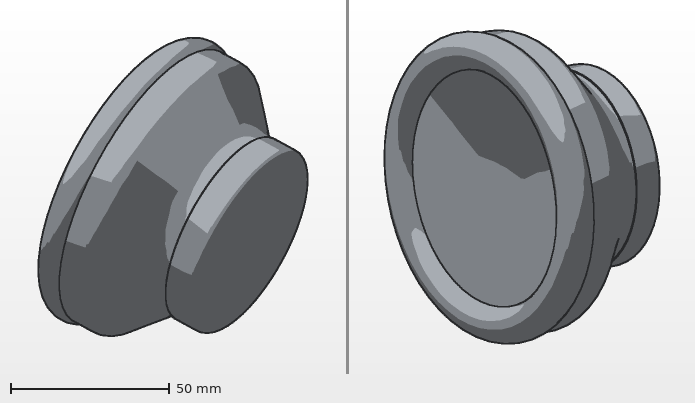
import cadquery as cq
import math


ring_outer_radius = 50.0
tube_radius = 6.0
ring_radius = ring_outer_radius - tube_radius
ring_x = tube_radius

length = 50.0
rim_radius = 97.0 / 2
neck_radius = 64.6 / 2
collar_radius = 65.0 / 2
collar_x = 39.6
shoulder_x = 19.4
shoulder_fillet = 5.0
neck_fillet = 8.0
end_fillet = 2.0
collar_step = collar_radius - neck_radius

taper_angle = math.radians(45)
neck_x = shoulder_x + (rim_radius - neck_radius) / math.tan(taper_angle)

dish_rim_x = 4.0
dish_rim_radius = ring_radius
dish_depth = 7.8


def make_ring():
    """Torus lying in a plane square to X."""
    center = cq.Vector(ring_x, 0, 0)
    axis = cq.Vector(1, 0, 0)
    return cq.Workplane(cq.Solid.makeTorus(ring_radius, tube_radius, center, axis))


def make_housing(ring):
    """Turned housing with a dished front and a round seat that fits the ring."""
    bend = taper_angle / 2
    shoulder_tangent = shoulder_fillet * math.tan(bend)
    neck_tangent = neck_fillet * math.tan(bend)
    cos_taper = math.cos(taper_angle)
    sin_taper = math.sin(taper_angle)
    profile = (
        cq.Workplane("XY")
        .moveTo(dish_rim_x + dish_depth, 0)
        .lineTo(dish_rim_x, dish_rim_radius)
        .lineTo(ring_x, rim_radius)
        .lineTo(shoulder_x - shoulder_tangent, rim_radius)
        .tangentArcPoint(
            (shoulder_x + shoulder_tangent * cos_taper, rim_radius - shoulder_tangent * sin_taper),
            relative=False,
        )
        .lineTo(neck_x - neck_tangent * cos_taper, neck_radius + neck_tangent * sin_taper)
        .tangentArcPoint((neck_x + neck_tangent, neck_radius), relative=False)
        .lineTo(collar_x, neck_radius)
        .lineTo(collar_x + collar_step, collar_radius)
        .lineTo(length - end_fillet, collar_radius)
        .tangentArcPoint((length, collar_radius - end_fillet), relative=False)
        .lineTo(length, 0)
        .close()
    )
    return profile.revolve(360, (0, 0, 0), (1, 0, 0)).cut(ring)


ring = make_ring()
housing = make_housing(ring)

result = cq.Compound.makeCompound([housing.val(), ring.val()])